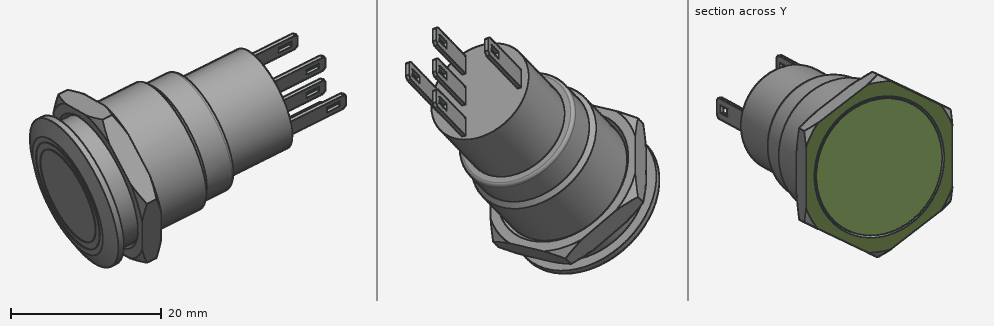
import cadquery as cq
import math

BEVEL_END = 1.0
FLANGE_BACK = 1.9
BARREL_END = 15.85
COLLAR_START = 16.45
COLLAR_END = 20.8
BASE_END = 30.8

FLANGE_RADIUS = 11.0
FACE_RADIUS = 8.7
BARREL_RADIUS = 9.5
COLLAR_RADIUS = 8.75
BASE_RADIUS = 7.4
COLLAR_FILLET = 0.5

GROOVE_INNER_RADIUS = 6.85
GROOVE_OUTER_RADIUS = 7.9
GROOVE_DEPTH = 0.1

NUT_FLATS = 2 * FLANGE_RADIUS
NUT_FRONT = 4.75
NUT_THICKNESS = 3.0
NUT_BEVEL_RADIUS = 11.4
NUT_BEVEL_ANGLE = 30
NUT_BORE_CHAMFER = 0.5

TERMINAL_WIDTH = 2.9
TERMINAL_THICKNESS = 0.5
TERMINAL_CORNER = 0.5
LONG_TIP = 40.0
SHORT_TIP = 39.0
SLOT_LENGTH = 2.0
SLOT_WIDTH = 1.05
SLOT_TIP_GAP = 1.0
LONG_X = 6.0
SHORT_X = 2.45
SHORT_PITCH = 5.0


def revolve_about_y(points):
    """Revolve a closed (radius, y) outline about the Y axis."""
    return cq.Workplane("XY").polyline(points).close().revolve(360, (0, 0, 0), (0, 1, 0))


def make_housing():
    """Flange, barrel, collar and rear base, with the ring groove in the front face."""
    body = revolve_about_y([
        (0, 0),
        (FACE_RADIUS, 0),
        (FLANGE_RADIUS, BEVEL_END),
        (FLANGE_RADIUS, FLANGE_BACK),
        (BARREL_RADIUS, FLANGE_BACK),
        (BARREL_RADIUS, BARREL_END),
        (COLLAR_RADIUS, COLLAR_START),
        (COLLAR_RADIUS, COLLAR_END),
        (BASE_RADIUS, COLLAR_END),
        (BASE_RADIUS, BASE_END),
        (0, BASE_END),
    ])
    around_collar_end = cq.selectors.BoxSelector(
        (-FLANGE_RADIUS, COLLAR_END - COLLAR_FILLET, -FLANGE_RADIUS),
        (FLANGE_RADIUS, COLLAR_END + COLLAR_FILLET, FLANGE_RADIUS),
    )
    largest_circle = cq.selectors.RadiusNthSelector(-1)
    body = body.edges(around_collar_end).edges(largest_circle).fillet(COLLAR_FILLET)
    groove = revolve_about_y([
        (GROOVE_INNER_RADIUS, 0),
        (GROOVE_OUTER_RADIUS, 0),
        (GROOVE_OUTER_RADIUS, GROOVE_DEPTH),
        (GROOVE_INNER_RADIUS, GROOVE_DEPTH),
    ])
    return body.cut(groove)


def make_nut():
    """Hexagonal nut with corners on +Z and -Z, corner bevels and a chamfered bore."""
    corner_radius = NUT_FLATS / math.sqrt(3)
    bevel_depth = (corner_radius - NUT_BEVEL_RADIUS) * math.tan(math.radians(NUT_BEVEL_ANGLE))
    back = NUT_FRONT + NUT_THICKNESS
    corner_angles = [math.radians(60 * i) for i in range(6)]
    corners = [(corner_radius * math.sin(a), corner_radius * math.cos(a)) for a in corner_angles]
    prism = (
        cq.Workplane("XZ", origin=(0, NUT_FRONT, 0))
        .polyline(corners).close().extrude(-NUT_THICKNESS)
    )
    mouth_radius = BARREL_RADIUS + NUT_BORE_CHAMFER
    bevelled_ring = revolve_about_y([
        (mouth_radius, NUT_FRONT),
        (NUT_BEVEL_RADIUS, NUT_FRONT),
        (corner_radius, NUT_FRONT + bevel_depth),
        (corner_radius, back - bevel_depth),
        (NUT_BEVEL_RADIUS, back),
        (mouth_radius, back),
        (BARREL_RADIUS, back - NUT_BORE_CHAMFER),
        (BARREL_RADIUS, NUT_FRONT + NUT_BORE_CHAMFER),
    ])
    return prism.intersect(bevelled_ring)


def make_terminal(x, z, tip):
    """Flat blade standing on the base, centred on (x, z), with a slot near its tip."""
    length = tip - BASE_END
    blade = (
        cq.Workplane("XY")
        .box(TERMINAL_THICKNESS, length, TERMINAL_WIDTH)
        .edges("|X and >Y").chamfer(TERMINAL_CORNER)
        .translate((x, BASE_END + length / 2, z))
    )
    slot_center = tip - SLOT_TIP_GAP - SLOT_LENGTH / 2
    slot = (
        cq.Workplane("XY")
        .box(TERMINAL_THICKNESS, SLOT_LENGTH, SLOT_WIDTH)
        .translate((x, slot_center, z))
    )
    return blade.cut(slot)


housing = make_housing()
nut = make_nut()

terminal_places = [(x, 0, LONG_TIP) for x in (-LONG_X, LONG_X)]
terminal_places += [(SHORT_X, z, SHORT_TIP) for z in (-SHORT_PITCH, 0, SHORT_PITCH)]
terminals = [make_terminal(x, z, tip).val() for x, z, tip in terminal_places]

result = cq.Compound.makeCompound([housing.val(), nut.val(), *terminals])